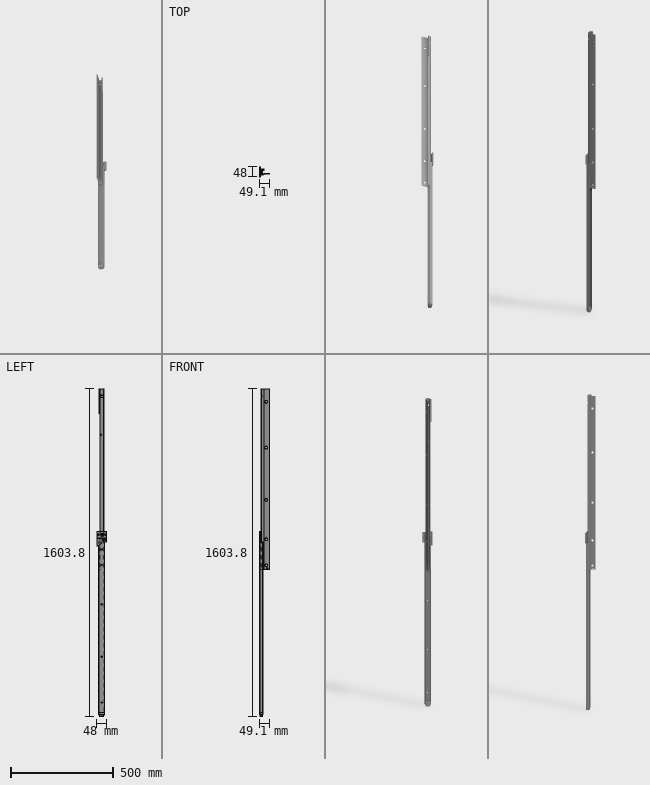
import cadquery as cq


total_depth = 49.09
total_height = 1603.76

channel_half_width = 14.5
channel_centre_y = 0.5
channel_depth = 16.5
channel_wall = 1.5
channel_bend = 3.0
lip_gap_half_width = 12.2
channel_bottom = 9.0
channel_top = 853.0
channel_hole_diameter = 5.0
channel_hole_heights = (68.0, 292.0, 548.0, 740.0)
channel_slot_height = 816.0
channel_slot_length = 10.0

stop_front = 1.0
stop_back = 14.5
stop_top = 20.0
stop_tip_half_width = 9.5
stop_notch_front = 5.5
stop_notch_back = 10.0

bracket_width = 48.0
bracket_thickness = 5.0
bracket_top = 906.0
bracket_low_edge = 833.0
bracket_slope_start = -1.0
bracket_groove_height = 872.0
bracket_groove_size = 1.5
bracket_hole_diameter = 5.0
bracket_hole_spots = ((17.0, 890.0), (-18.0, 890.0), (-18.0, 864.0), (-5.0, 864.0), (-2.5, 889.0))
bracket_recess_diameter = 15.0
bracket_recess_depth = 2.0

flanged_length = 885.0
flanged_bottom = total_height - flanged_length
flanged_wall = 2.0
head_front = 6.5
head_back = 22.0
head_left = 9.4
head_right = -11.0
head_bend = 4.7
flange_step = 1.0
tab_edge = 14.2
tab_length = 120.0
flange_hole_diameter = 12.0
flange_hole_x = 31.8
flange_hole_drops = (64.0, 288.0, 544.0, 736.0, 864.0)
locating_hole_diameter = 5.0
locating_hole_x = 36.0
locating_hole_height = 725.0
head_notch_height = 1563.5
head_notch_size = 7.5
head_notch_back = 9.8
head_hole_diameter = 5.0
head_hole_y = 5.0
head_hole_height = 1379.0


def upright_box(x_range, y_range, z_range):
    """Box spanning the given ranges along X, Y and Z."""
    (x0, x1), (y0, y1), (z0, z1) = x_range, y_range, z_range
    return cq.Workplane("XY").box(x1 - x0, y1 - y0, z1 - z0, centered=False).translate((x0, y0, z0))


def cross_hole_x(diameter, y, z, depth):
    """Cylinder running along +X from the front plane X = 0."""
    return cq.Workplane("YZ").center(y, z).circle(diameter / 2).extrude(depth)


def make_bracket():
    half = bracket_width / 2
    outline = [
        (half, bracket_top),
        (-half, bracket_top),
        (-half, channel_top),
        (bracket_slope_start, channel_top),
        (channel_centre_y + channel_half_width, bracket_low_edge),
        (half, bracket_low_edge),
    ]
    plate = cq.Workplane("YZ").polyline(outline).close().extrude(bracket_thickness)
    groove_top = bracket_groove_height + bracket_groove_size
    groove = upright_box((0, bracket_groove_size), (-half, half), (bracket_groove_height, groove_top))
    plate = plate.cut(groove)
    for y, z in bracket_hole_spots:
        plate = plate.cut(cross_hole_x(bracket_hole_diameter, y, z, bracket_thickness))
    recess_y, recess_z = bracket_hole_spots[-1]
    return plate.cut(cross_hole_x(bracket_recess_diameter, recess_y, recess_z, bracket_recess_depth))


def make_end_stop():
    """Block with a tapered tip, split by a notch into two tongues."""
    inside = channel_half_width - channel_wall
    outline = [
        (-inside, stop_top),
        (-inside, channel_bottom),
        (-stop_tip_half_width, 0),
        (stop_tip_half_width, 0),
        (inside, channel_bottom),
        (inside, stop_top),
    ]
    block = cq.Workplane("YZ").workplane(offset=stop_front).polyline(outline).close()
    block = block.extrude(stop_back - stop_front)
    notch = upright_box((stop_notch_front, stop_notch_back), (-inside, inside), (0, channel_bottom))
    return block.cut(notch)


def make_channel_rail(bracket):
    half = channel_half_width
    inside = half - channel_wall
    lengthwise = (channel_bottom, channel_top)
    rail = upright_box((0, channel_depth), (-half, half), lengthwise).edges("|Z").fillet(channel_bend)
    cavity = upright_box((channel_wall, channel_depth - channel_wall), (-inside, inside), lengthwise)
    rail = rail.cut(cavity.edges("|Z").fillet(channel_bend - channel_wall))
    gap = (-lip_gap_half_width, lip_gap_half_width)
    rail = rail.cut(upright_box((channel_depth / 2, channel_depth), gap, lengthwise))
    rail = rail.union(make_end_stop()).translate((0, channel_centre_y, 0))
    for height in channel_hole_heights:
        rail = rail.cut(cross_hole_x(channel_hole_diameter, 0, height, channel_depth / 2))
    slot = cq.Workplane("YZ").center(0, channel_slot_height)
    slot = slot.slot2D(channel_slot_length, channel_hole_diameter).extrude(channel_depth / 2)
    return rail.cut(slot).cut(bracket)


def make_flanged_rail():
    flange_outer = head_right + flange_step
    flange_inner = flange_outer + flanged_wall
    lengthwise = (flanged_bottom, total_height)
    head = upright_box((head_front, head_back), (head_right, head_left), lengthwise)
    head = head.edges("|Z and <X").fillet(head_bend)
    cavity = upright_box(
        (head_front + flanged_wall, head_back),
        (head_right + flanged_wall, head_left - flanged_wall),
        lengthwise,
    )
    rail = head.cut(cavity.edges("|Z and <X").fillet(head_bend - flanged_wall))

    flange_start = head_back - flanged_wall
    rail = rail.union(upright_box((flange_start, total_depth), (flange_outer, flange_inner), lengthwise))
    tab_y = (head_left - flanged_wall, tab_edge)
    tab_z = (total_height - tab_length, total_height)
    rail = rail.union(upright_box((flange_start, head_back), tab_y, tab_z))

    hole_spots = [(flange_hole_diameter, flange_hole_x, total_height - drop) for drop in flange_hole_drops]
    hole_spots.append((locating_hole_diameter, locating_hole_x, locating_hole_height))
    for diameter, x, z in hole_spots:
        hole = cq.Workplane("XZ", origin=(0, flange_inner, 0)).center(x, z)
        rail = rail.cut(hole.circle(diameter / 2).extrude(flanged_wall))

    notch_z = (head_notch_height, head_notch_height + head_notch_size)
    notch = upright_box((head_front, head_notch_back), (head_right, head_left), notch_z)
    web_hole = cross_hole_x(head_hole_diameter, head_hole_y, head_hole_height, head_notch_back)
    return rail.cut(notch).cut(web_hole)


guide_bracket = make_bracket()
channel_rail = make_channel_rail(guide_bracket)
flanged_rail = make_flanged_rail()

result = cq.Compound.makeCompound([guide_bracket.val(), channel_rail.val(), flanged_rail.val()])